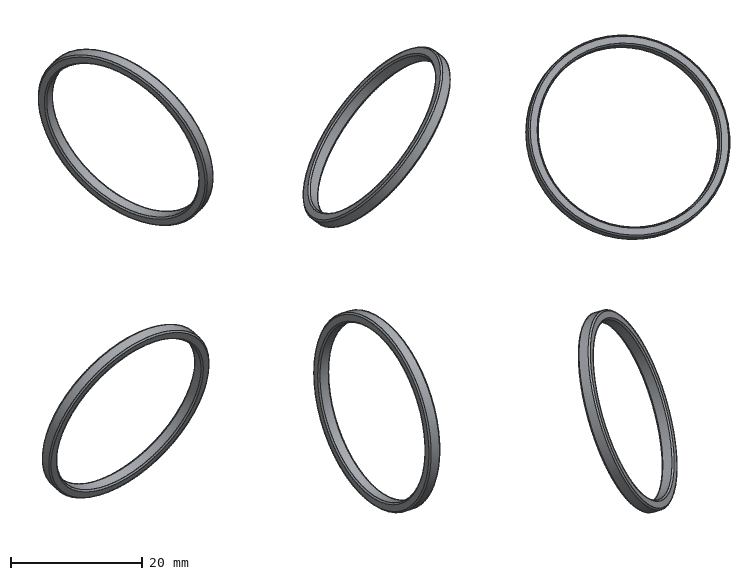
import cadquery as cq

outer_diameter = 31.75
inner_diameter = 28.58
ring_width = 2.03
edge_chamfer = 0.25

ring = (
    cq.Workplane("XZ", origin=(0, ring_width / 2, 0))
    .circle(outer_diameter / 2)
    .circle(inner_diameter / 2)
    .extrude(ring_width)
)

result = ring.faces("<Y or >Y").edges().chamfer(edge_chamfer)